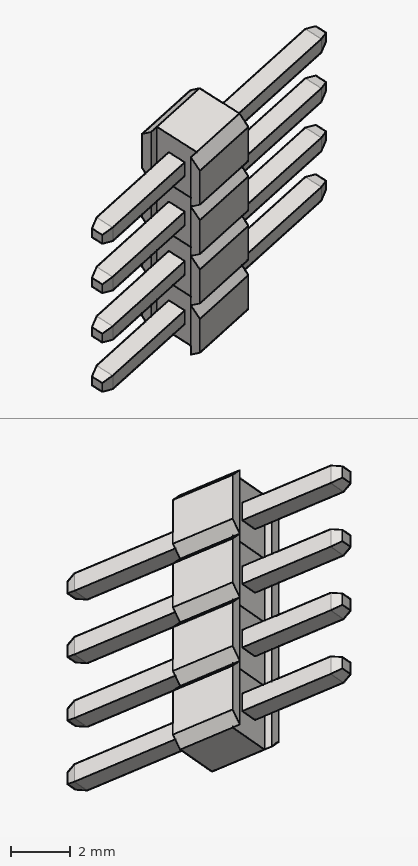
import cadquery as cq

module_count = 4
pitch = 2.54
corner_chamfer = 0.4
recess_depth = 0.3

pin_length = 11.7
pin_width = 0.7
pin_tip_width = 0.46
pin_tip_length = 0.4
pin_front_reach = 3.86

pin_front_y = -pin_length / 2
block_front_y = pin_front_y + pin_front_reach
recess_width = pitch - 2 * corner_chamfer


def bar_along_y(width, height, start_y, length):
    """Rectangular bar centred on the Y axis, running from start_y towards +Y."""
    bar = cq.Workplane("XY").box(width, length, height, centered=(True, False, True))
    return bar.translate((0, start_y, 0))


def make_block():
    """Octagonal insulator block with a channel along Z in its front face."""
    block = bar_along_y(pitch, pitch, block_front_y, pitch).edges("|Y").chamfer(corner_chamfer)
    channel = bar_along_y(recess_width, pitch, block_front_y, recess_depth)
    return block.cut(channel)


def make_pin_tip(base_y, direction):
    """Tapered pin end, narrowing from base_y along +Y (direction 1) or -Y (direction -1)."""
    base_plane = cq.Plane(origin=(0, base_y, 0), xDir=(1, 0, 0), normal=(0, direction, 0))
    return (
        cq.Workplane(base_plane)
        .rect(pin_width, pin_width)
        .workplane(offset=pin_tip_length)
        .rect(pin_tip_width, pin_tip_width)
        .loft(ruled=True)
    )


def make_pin():
    """Square pin with a tapered tip at each end."""
    shank_length = pin_length - 2 * pin_tip_length
    shank_front_y = pin_front_y + pin_tip_length
    shank = bar_along_y(pin_width, pin_width, shank_front_y, shank_length)
    front_tip = make_pin_tip(shank_front_y, -1)
    back_tip = make_pin_tip(shank_front_y + shank_length, 1)
    return shank.union(front_tip).union(back_tip)


def make_module(center_z):
    """One header module: block and pin in one piece, centred at height center_z."""
    module = make_block().union(make_pin())
    return module.translate((0, 0, center_z)).solids()


bottom_module_z = -(module_count - 1) * pitch / 2
modules = [make_module(bottom_module_z + index * pitch) for index in range(module_count)]

result = cq.Compound.makeCompound([module.val() for module in modules])